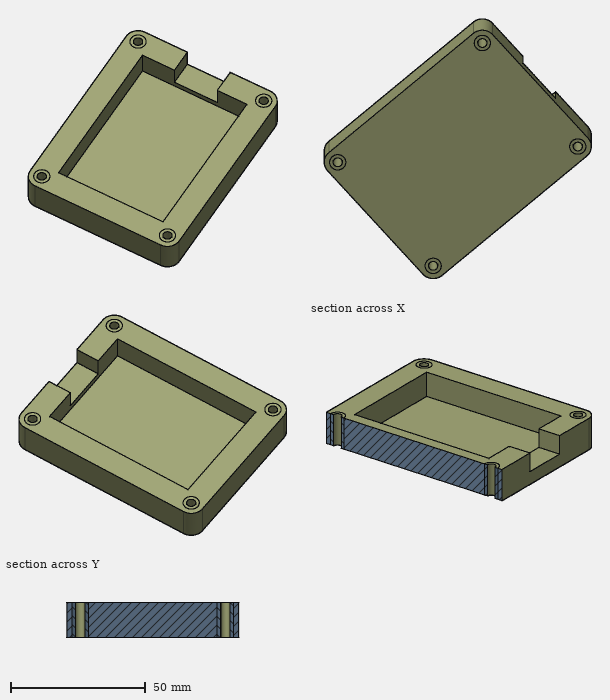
import cadquery as cq

tray_width = 64.0
tray_length = 81.3
tray_height = 13.0
corner_radius = 5.0
wall = 9.6
pocket_depth = 10.0

notch_width = 18.4
notch_depth = 7.65
notch_center_x = 0.5

sleeve_diameter = 6.0
bore_diameter = 3.4
sleeve_x = tray_width / 2 - corner_radius
sleeve_y = tray_length / 2 - corner_radius
sleeve_centers = [(sx * sleeve_x, sy * sleeve_y) for sx in (-1, 1) for sy in (-1, 1)]


def make_tray():
    """Rounded block with its pocket, wall notch and sleeve holes cut out."""
    block = (
        cq.Workplane("XY")
        .box(tray_width, tray_length, tray_height, centered=(True, True, False))
        .edges("|Z")
        .fillet(corner_radius)
    )
    pocket = (
        cq.Workplane("XY")
        .workplane(offset=tray_height - pocket_depth)
        .rect(tray_width - 2 * wall, tray_length - 2 * wall)
        .extrude(pocket_depth)
    )
    notch = (
        cq.Workplane("XY")
        .workplane(offset=tray_height - notch_depth)
        .center(notch_center_x, (tray_length - wall) / 2)
        .rect(notch_width, wall)
        .extrude(notch_depth)
    )
    sleeve_holes = (
        cq.Workplane("XY")
        .pushPoints(sleeve_centers)
        .circle(sleeve_diameter / 2)
        .extrude(tray_height)
    )
    return block.cut(pocket).cut(notch).cut(sleeve_holes)


def make_sleeve(center):
    """Full-height tube that fills one corner hole of the tray."""
    return (
        cq.Workplane("XY")
        .center(*center)
        .circle(sleeve_diameter / 2)
        .circle(bore_diameter / 2)
        .extrude(tray_height)
    )


tray = make_tray()
sleeves = [make_sleeve(center) for center in sleeve_centers]

result = cq.Compound.makeCompound([tray.val(), *[sleeve.val() for sleeve in sleeves]])